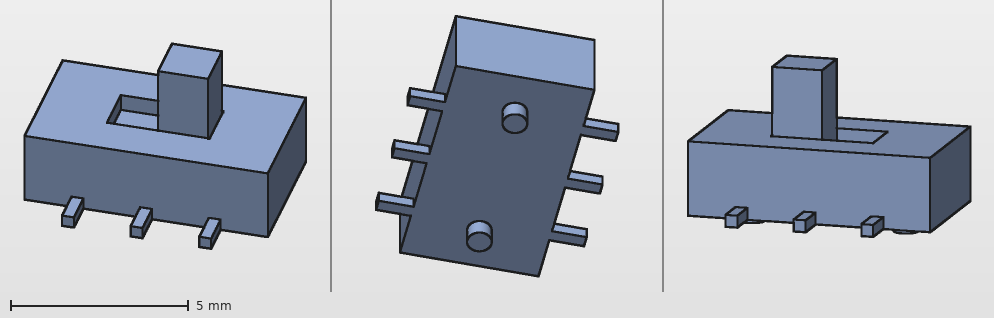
import cadquery as cq

body_length = 7.1
body_width = 4.0
body_height = 2.15

slot_length = 2.995
slot_width = 1.455
slot_depth = 0.5

knob_length = 1.46
knob_end_gap = 0.04
knob_rise = 2.0

pin_size = 0.35
pin_reach = 1.0
front_pin_places = (-2.0, 0.0, 2.0)
back_pin_places = (-2.0, -0.02, 1.98)

peg_diameter = 0.695
peg_height = 0.5
peg_spacing = 4.5


def make_housing():
    housing = cq.Workplane("XY").box(body_length, body_width, body_height, centered=(True, True, False))
    slot = (
        cq.Workplane("XY", origin=(0, 0, body_height - slot_depth))
        .rect(slot_length, slot_width)
        .extrude(slot_depth)
    )
    return housing.cut(slot)


def make_knob():
    knob_center = slot_length / 2 - knob_end_gap - knob_length / 2
    return (
        cq.Workplane("XY", origin=(knob_center, 0, body_height - slot_depth))
        .rect(knob_length, slot_width)
        .extrude(slot_depth + knob_rise)
    )


def make_pins(places, side):
    """Square pins sticking out of one long side; side is -1 for -Y and 1 for +Y."""
    row_center = side * (body_width + pin_reach) / 2
    return (
        cq.Workplane("XY")
        .pushPoints([(place, row_center) for place in places])
        .rect(pin_size, pin_reach)
        .extrude(pin_size)
    )


def make_pegs():
    return (
        cq.Workplane("XY")
        .pushPoints([(-peg_spacing / 2, 0), (peg_spacing / 2, 0)])
        .circle(peg_diameter / 2)
        .extrude(-peg_height)
    )


result = (
    make_housing()
    .union(make_knob())
    .union(make_pins(front_pin_places, -1))
    .union(make_pins(back_pin_places, 1))
    .union(make_pegs())
)